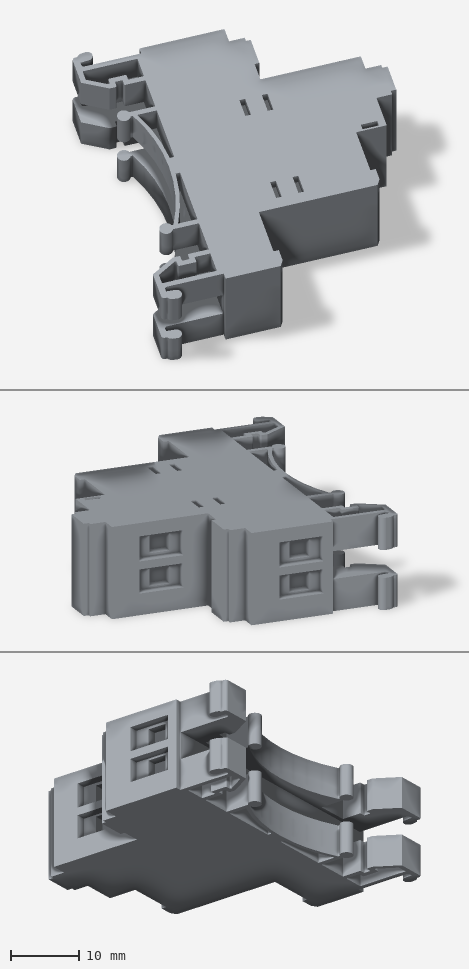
import cadquery as cq
import math


overall_length = 48.15
thickness = 14.35
flange_thickness = 5.0
body_half_width = 22.5

ledge_y = 10.0
gap_floor_y = 9.9
flange_root_y = 9.2
left_shoulder_y = 23.0
right_shoulder_y = 18.2
tower_left_y = 40.75
tower_right_y = 36.1
top_y = 44.0

tower_left_x = -11.95
tower_step_x = 1.55
tower_right_x = 11.9
tab_inset = 2.4
tab_rise = 2.4
top_tab_right_x = -3.8
nub_length = 4.52
nub_left_x = -19.45
nub_top_y = 26.15
top_nub_left_x = -9.0
lip_length = 2.95
lip_height = 0.8
lip_bevel_run = 0.95
lip_bevel_drop = 0.6

wall = 0.8
foot_outer_x = 21.5
foot_inner_x = 16.5
sole_inner_x = 18.7
notch_depth = 0.95
notch_bottom_y = 4.8
notch_top_y = 5.95
foot_bevel_y = 3.7
bevel_wall = 0.7
latch_fillet = 0.2
hook_radius = 0.8
hook_tip_x = overall_length / 2 - hook_radius
hook_tip_y = 2.25
hook_heel_x = 23.5
hook_slot_x = 22.35
hook_slot_y = 0.95
hook_slot_fillet = 0.4
heel_fillet = 0.5
hook_arm_x = 23.95
hook_arm_y = 1.45
hook_bend_radius = 0.95

standoff_x = 11.0
ball_radius = 1.0
ball_y = 4.3

arch_half_span = standoff_x - wall / 2
arch_crown_y = 7.95
arch_spring_y = 5.55
arch_wall = 0.63
arch_web_half_width = 1.55

pocket_depth = flange_thickness - wall
slot_depth = 1.45
slot_length = 3.1
slot_width = 0.85
slot_left_x = -7.5
slot_right_x = 8.5
slot_rows_y = (21.8, 25.2)
key_slot_x = 0.8
key_slot_y = 38.4
key_slot_length = 2.5

window_length = 7.05
window_recess = 1.5
opening_depth = 1.55
opening_length = 3.2


def box(x_min, x_max, y_min, y_max, z_min, z_max):
    """Axis-aligned block given by its limits."""
    size = (x_max - x_min, y_max - y_min, z_max - z_min)
    return cq.Workplane("XY").box(*size, centered=False).translate((x_min, y_min, z_min))


def with_mirror(shape):
    """The shape joined with its mirror image across the centre line."""
    return shape.union(shape.mirror("YZ"))


def round_corners(prism, corners, height, radius):
    """Fillet the upright edges of a prism of the given height at the listed corners."""
    for x, y in corners:
        prism = prism.edges(cq.NearestToPointSelector((x, y, height / 2))).fillet(radius)
    return prism


def lip_points(outer_x, shoulder_y):
    """Outline of a raised lip with a bevelled outer corner at the end of a right shoulder."""
    lip_x = outer_x - lip_length
    lip_y = shoulder_y + lip_height
    return [
        (lip_x, shoulder_y),
        (lip_x, lip_y),
        (outer_x - lip_bevel_run, lip_y),
        (outer_x, lip_y - lip_bevel_drop),
    ]


def make_body():
    """Stepped housing, full thickness, down to the ledge beside the feet."""
    tab_x = -body_half_width + tab_inset
    tab_y = left_shoulder_y + tab_rise
    top_tab_x = tower_left_x + tab_inset
    top_tab_y = tower_left_y + tab_rise
    outline = [
        (-body_half_width, ledge_y),
        (-body_half_width, left_shoulder_y),
        (tab_x, left_shoulder_y),
        (tab_x, tab_y),
        (nub_left_x, tab_y),
        (nub_left_x, nub_top_y),
        (nub_left_x + nub_length, nub_top_y),
        (nub_left_x + nub_length, tab_y),
        (tower_left_x, tab_y),
        (tower_left_x, tower_left_y),
        (top_tab_x, tower_left_y),
        (top_tab_x, top_tab_y),
        (top_nub_left_x, top_tab_y),
        (top_nub_left_x, top_y),
        (top_nub_left_x + nub_length, top_y),
        (top_nub_left_x + nub_length, top_tab_y),
        (top_tab_right_x, top_tab_y),
        (top_tab_right_x, tower_left_y),
        (tower_step_x, tower_left_y),
        (tower_step_x, tower_right_y),
        *lip_points(tower_right_x, tower_right_y),
        (tower_right_x, right_shoulder_y),
        *lip_points(body_half_width, right_shoulder_y),
        (body_half_width, ledge_y),
    ]
    return cq.Workplane("XY").polyline(outline).close().extrude(thickness)


def make_foot():
    """Left rail foot with its latch notch and the hooked release tab."""
    notch_x = -foot_inner_x - notch_depth
    foot = (
        cq.Workplane("XY")
        .moveTo(-foot_outer_x, flange_root_y)
        .lineTo(-foot_outer_x, hook_slot_y + hook_slot_fillet)
        .radiusArc((-foot_outer_x - hook_slot_fillet, hook_slot_y), hook_slot_fillet)
        .lineTo(-hook_slot_x, hook_slot_y)
        .lineTo(-hook_tip_x + hook_radius, hook_tip_y)
        .threePointArc((-hook_tip_x, hook_tip_y + hook_radius), (-hook_tip_x - hook_radius, hook_tip_y))
        .lineTo(-hook_arm_x, hook_arm_y)
        .radiusArc((-hook_heel_x, wall), -hook_bend_radius)
        .lineTo(-hook_heel_x, heel_fillet)
        .radiusArc((-hook_heel_x + heel_fillet, 0), -heel_fillet)
        .lineTo(-sole_inner_x, 0)
        .lineTo(-foot_inner_x, foot_bevel_y)
        .lineTo(-foot_inner_x, notch_bottom_y)
        .lineTo(notch_x, notch_bottom_y)
        .lineTo(notch_x, notch_top_y)
        .lineTo(-foot_inner_x, notch_top_y)
        .lineTo(-foot_inner_x, flange_root_y)
        .close()
        .extrude(flange_thickness)
    )
    notch_mouth = [(-foot_inner_x, notch_bottom_y), (-foot_inner_x, notch_top_y)]
    return round_corners(foot, notch_mouth, flange_thickness, latch_fillet)


def make_flange():
    """Lower flange: base strip, two feet, two ball-ended standoffs and the arch."""
    strip = box(-foot_outer_x, foot_outer_x, flange_root_y, ledge_y, 0, flange_thickness)
    stem = box(-standoff_x - wall / 2, -arch_half_span, ball_y, flange_root_y, 0, flange_thickness)
    ball = cq.Workplane("XY").center(-standoff_x, ball_y).circle(ball_radius).extrude(flange_thickness)
    arch = (
        cq.Workplane("XY")
        .moveTo(-arch_half_span, flange_root_y)
        .lineTo(-arch_half_span, arch_spring_y)
        .threePointArc((0, arch_crown_y), (arch_half_span, arch_spring_y))
        .lineTo(arch_half_span, flange_root_y)
        .close()
        .extrude(flange_thickness)
    )
    flange = strip.union(arch).union(with_mirror(make_foot().union(stem).union(ball)))
    return flange.cut(with_mirror(make_foot_pocket().union(make_arch_pocket())))


def make_foot_pocket():
    """Hollow of the left foot, open on the outer side face, following its outline and latch notch."""
    bevel_run = (sole_inner_x - foot_inner_x) / foot_bevel_y
    bevel_wall_x = bevel_wall * math.hypot(1, bevel_run)
    inner_x = -foot_inner_x - wall
    step_x = inner_x - notch_depth
    step_bottom_y = notch_bottom_y - wall
    bevel_start_x = -sole_inner_x - bevel_wall_x

    def bevel_y(x):
        return (x - bevel_start_x) / bevel_run

    outline = [
        (-foot_outer_x + wall, flange_root_y),
        (-foot_outer_x + wall, wall),
        (bevel_start_x + bevel_run * wall, wall),
        (inner_x, bevel_y(inner_x)),
        (inner_x, step_bottom_y),
        (step_x, step_bottom_y),
        (step_x, notch_top_y + wall),
        (inner_x, notch_top_y + wall),
        (inner_x, flange_root_y),
    ]
    pocket = cq.Workplane("XY").polyline(outline).close().extrude(pocket_depth)
    step_corners = [(inner_x, step_bottom_y), (step_x, step_bottom_y)]
    return round_corners(pocket, step_corners, pocket_depth, latch_fillet)


def make_arch_pocket():
    """Left hollow above the arch, with its curved edge concentric to the arch."""
    rise = arch_crown_y - arch_spring_y
    radius = (arch_half_span**2 + rise**2) / (2 * rise)
    centre_y = arch_crown_y - radius
    rim_radius = radius + arch_wall

    def rim_point(x):
        return (x, centre_y + math.sqrt(rim_radius**2 - x**2))

    middle_x = -(arch_half_span + arch_web_half_width) / 2
    return (
        cq.Workplane("XY")
        .moveTo(-arch_half_span, flange_root_y)
        .lineTo(*rim_point(-arch_half_span))
        .threePointArc(rim_point(middle_x), rim_point(-arch_web_half_width))
        .lineTo(-arch_web_half_width, flange_root_y)
        .close()
        .extrude(pocket_depth)
    )


def slot(x, y, length_x, length_y):
    """Shallow rectangular slot in the upper side face."""
    return box(
        x - length_x / 2, x + length_x / 2,
        y - length_y / 2, y + length_y / 2,
        thickness - slot_depth, thickness,
    )


def terminal(face_x, y_min, opening_y, window_z, opening_z):
    """Recessed window in a face towards -X, with a smaller opening in its floor."""
    floor_x = face_x + window_recess
    window = box(face_x, floor_x, y_min, y_min + window_length, *window_z)
    opening = box(face_x, floor_x + opening_depth, opening_y, opening_y + opening_length, *opening_z)
    return window.union(opening)


lower_flange = make_flange()
upper_flange = lower_flange.mirror("XY").translate((0, 0, thickness))
gap_floor = box(-foot_outer_x, foot_outer_x, gap_floor_y, ledge_y, 0, thickness)
result = make_body().union(gap_floor).union(lower_flange).union(upper_flange)

for slot_x in (slot_left_x, slot_right_x):
    for slot_y in slot_rows_y:
        result = result.cut(slot(slot_x, slot_y, slot_length, slot_width))
result = result.cut(slot(key_slot_x, key_slot_y, slot_width, key_slot_length))

terminal_columns = [(-body_half_width, 11.5, 13.15), (tower_left_x, 29.35, 30.95)]
terminal_rows = [((3.35, 7.1), (3.7, 6.8)), ((8.37, 12.25), (8.85, 11.85))]
for column in terminal_columns:
    for row in terminal_rows:
        result = result.cut(terminal(*column, *row))